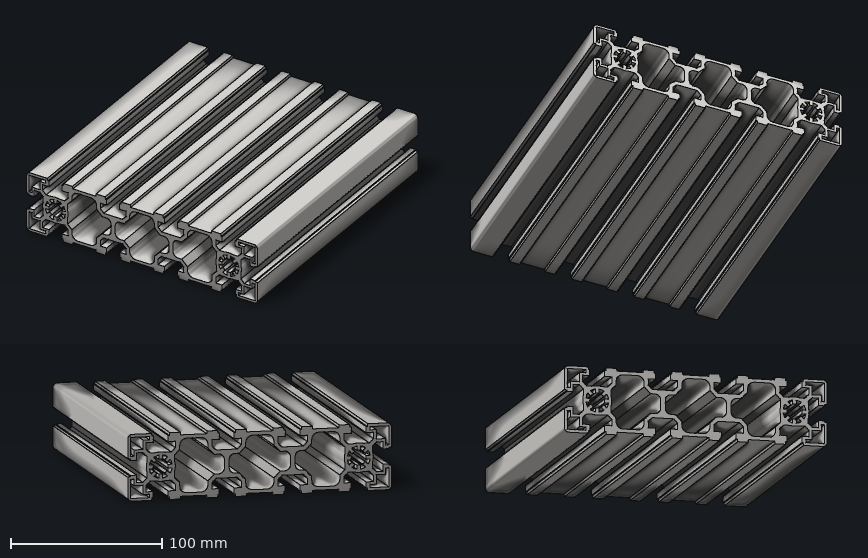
import cadquery as cq
import math

length = 200.0
cell_size = 45.0
cell_count = 4
half_cell = cell_size / 2
width = cell_count * cell_size
half_width = width / 2
end_cell_x = half_width - half_cell
inner_cell_x = end_cell_x - cell_size
corner_radius = 3.0

skin_recess = 1.8
skin_thickness = 2.5
recess_top_half = 9.2
recess_floor_half = 8.8
recess_floor = half_cell - skin_recess
skin_inside = recess_floor - skin_thickness

opening_half = 5.0
lip_thickness = 6.0
lip_setback = 1.2
lip_ledge = 0.8
slot_half = 10.0
slot_depth = 13.0
slot_floor = half_cell - slot_depth
slot_chamfer = 2.8
bulge_half = 3.0
bulge_height = 0.5
lip_underside = half_cell - lip_thickness

chamber_half = 9.5
chamber_radius = 4.8
chamber_edge = half_cell - chamber_half
shoulder_height = 11.0
shoulder_offset = chamber_edge - shoulder_height
web_half = 1.5
web_ceiling = 6.5
web_radius = 4.0

corner_wall = 2.0
corner_inside = slot_half + corner_wall
corner_outside = half_cell - corner_wall
corner_reach = 7.8

bore_radius = 7.8
tooth_tip_radius = 5.0
tooth_width = 2.5
tooth_count = 8


def profile_plane():
    """XZ workplane on the -Y end, so that extrude(-length) runs along +Y."""
    return cq.Workplane("XZ", origin=(0, -length / 2, 0))


def slot(cell_x, angle, bulged):
    """T-slot cutter opening toward +Z, turned by angle about the axis of its cell."""
    floor_half = slot_half - slot_chamfer
    ledge_half = opening_half + lip_ledge
    mouth_half = opening_half + lip_setback
    outline = (
        profile_plane()
        .moveTo(-mouth_half, half_cell)
        .lineTo(-ledge_half, recess_floor)
        .lineTo(-opening_half, recess_floor)
        .lineTo(-opening_half, lip_underside)
        .lineTo(-slot_half, lip_underside)
        .lineTo(-slot_half, slot_floor + slot_chamfer)
        .lineTo(-floor_half, slot_floor)
    )
    if bulged:
        outline = outline.lineTo(-bulge_half, slot_floor).threePointArc(
            (0, slot_floor + bulge_height), (bulge_half, slot_floor)
        )
    outline = (
        outline.lineTo(floor_half, slot_floor)
        .lineTo(slot_half, slot_floor + slot_chamfer)
        .lineTo(slot_half, lip_underside)
        .lineTo(opening_half, lip_underside)
        .lineTo(opening_half, recess_floor)
        .lineTo(ledge_half, recess_floor)
        .lineTo(mouth_half, half_cell)
        .close()
    )
    cutter = outline.extrude(-length)
    return cutter.rotate((0, 0, 0), (0, 1, 0), angle).translate((cell_x, 0, 0))


def chamber_body(chamber_x):
    """Tall round-cornered middle of a chamber, with the skin recesses above and below it."""
    body = (
        profile_plane()
        .rect(2 * chamber_half, 2 * skin_inside)
        .extrude(-length)
        .edges("|Y")
        .fillet(chamber_radius)
    )
    for side in (1, -1):
        recess = (
            profile_plane()
            .moveTo(-recess_top_half, side * half_cell)
            .lineTo(-recess_floor_half, side * recess_floor)
            .lineTo(recess_floor_half, side * recess_floor)
            .lineTo(recess_top_half, side * half_cell)
            .close()
            .extrude(-length)
        )
        body = body.union(recess)
    return body.translate((chamber_x, 0, 0))


def wing_toward_bore(cell_x, angle):
    """Side of a chamber that ends at the bulged wall of a toothed bore."""
    wall_half = slot_floor - shoulder_offset
    wing = (
        profile_plane()
        .moveTo(half_cell, shoulder_height)
        .lineTo(chamber_edge, shoulder_height)
        .lineTo(slot_floor, wall_half)
        .lineTo(slot_floor, bulge_half)
        .threePointArc((slot_floor + bulge_height, 0), (slot_floor, -bulge_half))
        .lineTo(slot_floor, -wall_half)
        .lineTo(chamber_edge, -shoulder_height)
        .lineTo(half_cell, -shoulder_height)
        .close()
        .extrude(-length)
    )
    return wing.rotate((0, 0, 0), (0, 1, 0), angle).translate((cell_x, 0, 0))


def wing_toward_web(cell_x, angle):
    """Side of a chamber that reaches under the slots to the upright web of an inner cell."""
    ceiling_end = web_ceiling + shoulder_offset
    arc_inset = web_radius * (1 - math.sqrt(0.5))
    arc_x = web_half + arc_inset
    arc_z = web_ceiling - arc_inset
    web_top = web_ceiling - web_radius
    wing = (
        profile_plane()
        .moveTo(half_cell, shoulder_height)
        .lineTo(chamber_edge, shoulder_height)
        .lineTo(ceiling_end, web_ceiling)
        .lineTo(web_half + web_radius, web_ceiling)
        .threePointArc((arc_x, arc_z), (web_half, web_top))
        .lineTo(web_half, -web_top)
        .threePointArc((arc_x, -arc_z), (web_half + web_radius, -web_ceiling))
        .lineTo(ceiling_end, -web_ceiling)
        .lineTo(chamber_edge, -shoulder_height)
        .lineTo(half_cell, -shoulder_height)
        .close()
        .extrude(-length)
    )
    return wing.rotate((0, 0, 0), (0, 1, 0), angle).translate((cell_x, 0, 0))


def hollow_corner(cell_x, angle):
    """Hollow in the +X +Z corner of an end cell, reaching a little behind both lips."""
    hollow = (
        profile_plane()
        .moveTo(corner_inside, corner_inside)
        .lineTo(corner_inside, skin_inside)
        .lineTo(corner_reach, skin_inside)
        .lineTo(corner_reach, corner_outside)
        .lineTo(corner_outside, corner_outside)
        .lineTo(corner_outside, corner_reach)
        .lineTo(skin_inside, corner_reach)
        .lineTo(skin_inside, corner_inside)
        .close()
        .extrude(-length)
    )
    return hollow.rotate((0, 0, 0), (0, 1, 0), angle).translate((cell_x, 0, 0))


def toothed_bore(cell_x):
    """Round bore with inward teeth left standing on its wall."""
    bore = profile_plane().circle(bore_radius).extrude(-length)
    tooth_middle = (tooth_tip_radius + half_cell) / 2
    tooth = (
        profile_plane()
        .center(tooth_middle, 0)
        .rect(half_cell - tooth_tip_radius, tooth_width)
        .extrude(-length)
    )
    for index in range(tooth_count):
        bore = bore.cut(tooth.rotate((0, 0, 0), (0, 1, 0), index * 360 / tooth_count))
    return bore.translate((cell_x, 0, 0))


result = (
    profile_plane()
    .rect(width, cell_size)
    .extrude(-length)
    .edges("|Y")
    .fillet(corner_radius)
)

for chamber_x in (-cell_size, 0, cell_size):
    result = result.cut(chamber_body(chamber_x))

for side, turn in ((1, 0), (-1, 180)):
    end_x = side * end_cell_x
    inner_x = side * inner_cell_x

    for angle in (0, 180, side * 90):
        result = result.cut(slot(end_x, angle, True))
    for angle in (0, 180):
        result = result.cut(slot(inner_x, angle, False))

    result = result.cut(wing_toward_bore(end_x, 180 - turn))
    for angle in (0, 180):
        result = result.cut(wing_toward_web(inner_x, angle))

    for angle in (turn, turn + 90):
        result = result.cut(hollow_corner(end_x, angle))

    result = result.cut(toothed_bore(end_x))